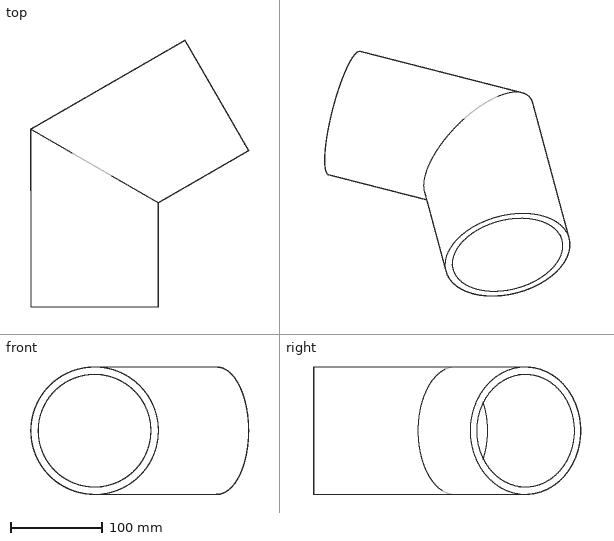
import cadquery as cq
import math

overall_length = 292.5
outer_diameter = 140.0
wall_thickness = 8.2
bend_angle = math.radians(60.0)

outer_radius = outer_diameter / 2
bore_radius = outer_radius - wall_thickness

leg_length = (overall_length - outer_radius * math.sin(bend_angle)) / (1 + math.cos(bend_angle))

inlet_center = (0, -leg_length)
corner = (0, 0)
outlet_center = (leg_length * math.sin(bend_angle), leg_length * math.cos(bend_angle))


def mitred_rod(radius):
    """Solid round rod following the centreline, with a mitre at the corner."""
    centerline = cq.Workplane("XY").polyline([inlet_center, corner, outlet_center])
    profile = cq.Workplane("XZ", origin=(0, -leg_length, 0)).circle(radius)
    return profile.sweep(centerline, transition="right")


result = mitred_rod(outer_radius).cut(mitred_rod(bore_radius))